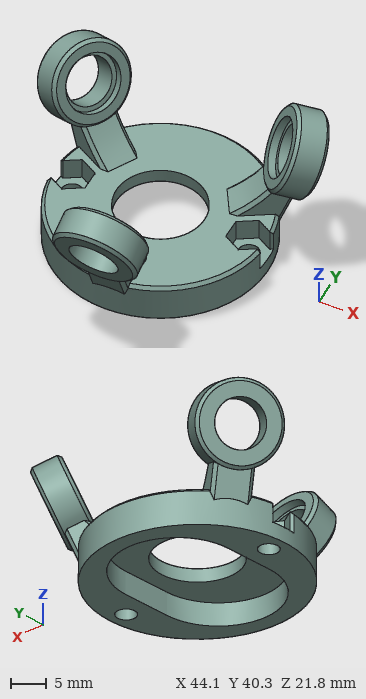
import cadquery as cq
import math

BASE_DIAMETER = 33.36
BASE_HEIGHT = 5.85
BASE_BORE_DIAMETER = 13.65
BASE_CHAMFER = 0.5

RECESS_WIDTH = 19.6
RECESS_LENGTH = 28.0
RECESS_DEPTH = 3.7

SCREW_SPACING = 27.5
SCREW_DIAMETER = 3.2
NUT_ACROSS_FLATS = 5.6
NUT_FLOOR_HEIGHT = 2.4
NUT_MOUTH_WIDTH = 3.76
NUT_MOUTH_FLARE_ANGLE = 30
NUT_MOUTH_OVERRUN = 1.0

RING_ANGLES = (30, 150, 270)
RING_DIAMETER = 13.0
RING_WIDTH = 4.9
RING_TILT = 22.5
RING_CENTER_RADIUS = 19.05
RING_CENTER_HEIGHT = 15.0
RING_BORE_DIAMETER = 7.52
SEAT_DIAMETER = 9.02
SEAT_DEPTH = 1.2
RING_CHAMFER = 0.5

ARM_WIDTH = 6.0
ARM_CHAMFER = 0.55
ARM_OUTER_OFFSET = 1.85
ARM_CURVE_RADIUS = 19.5
ARM_START_RADIUS = 9.5
ARM_FOOT_RADIUS = 8.0
ARM_FOOT_HEIGHT = 2.0
ARM_TIP_OFFSET = 5.0

TILT_SIN = math.sin(math.radians(RING_TILT))
TILT_COS = math.cos(math.radians(RING_TILT))
ARM_CURVE_CENTER_HEIGHT = BASE_HEIGHT + math.sqrt(ARM_CURVE_RADIUS**2 - ARM_START_RADIUS**2)


def ring_point(axial, below):
    """Radius and height of a point along the ring axis (outward) and below its center."""
    radius = RING_CENTER_RADIUS + axial * TILT_COS - below * TILT_SIN
    height = RING_CENTER_HEIGHT - axial * TILT_SIN - below * TILT_COS
    return radius, height


def arm_curve_point(radius):
    """Point of the concave arm face at a given radius."""
    return radius, ARM_CURVE_CENTER_HEIGHT - math.sqrt(ARM_CURVE_RADIUS**2 - radius**2)


def ring_cylinder(diameter, axial_start, length):
    """Cylinder on the ring axis, starting at an axial offset and running outward."""
    radius, height = ring_point(axial_start, 0)
    plane = cq.Plane(origin=(radius, 0, height), xDir=(0, 1, 0), normal=(TILT_COS, 0, -TILT_SIN))
    return cq.Workplane(plane).circle(diameter / 2).extrude(length)


def make_base():
    base = cq.Workplane("XY").circle(BASE_DIAMETER / 2).extrude(BASE_HEIGHT)
    base = base.faces(">Z").edges().chamfer(BASE_CHAMFER)
    bore = cq.Workplane("XY").circle(BASE_BORE_DIAMETER / 2).extrude(BASE_HEIGHT)
    return base.cut(bore)


def make_recess():
    return cq.Workplane("XY").slot2D(RECESS_LENGTH, RECESS_WIDTH, 90).extrude(RECESS_DEPTH)


def make_arm():
    tip_outer = ring_point(ARM_OUTER_OFFSET, ARM_TIP_OFFSET)
    foot_drop = (RING_CENTER_HEIGHT - ARM_OUTER_OFFSET * TILT_SIN - ARM_FOOT_HEIGHT) / TILT_COS
    foot_outer = ring_point(ARM_OUTER_OFFSET, foot_drop)
    tip_inner_radius = ring_point(-ARM_OUTER_OFFSET, ARM_TIP_OFFSET)[0]
    middle_radius = (ARM_FOOT_RADIUS + tip_inner_radius) / 2
    profile = (
        cq.Workplane("XZ")
        .moveTo(ARM_FOOT_RADIUS, ARM_FOOT_HEIGHT)
        .lineTo(*foot_outer)
        .lineTo(*tip_outer)
        .lineTo(*arm_curve_point(tip_inner_radius))
        .threePointArc(arm_curve_point(middle_radius), arm_curve_point(ARM_FOOT_RADIUS))
        .close()
    )
    arm = profile.extrude(ARM_WIDTH / 2, both=True)
    return arm.faces("|Y").edges().chamfer(ARM_CHAMFER)


def make_ring_with_arm():
    inner_face = -RING_WIDTH / 2
    ring = ring_cylinder(RING_DIAMETER, inner_face, RING_WIDTH).edges().chamfer(RING_CHAMFER)
    bore = ring_cylinder(RING_BORE_DIAMETER, inner_face, RING_WIDTH)
    seat = ring_cylinder(SEAT_DIAMETER, inner_face, SEAT_DEPTH)
    return ring.union(make_arm()).cut(bore).cut(seat)


def make_screw_seat():
    """Screw hole, nut pocket and flared pocket mouth on the +X side, as a solid to remove."""
    center_x = SCREW_SPACING / 2
    pocket_depth = BASE_HEIGHT - NUT_FLOOR_HEIGHT
    hole = cq.Workplane("XY").center(center_x, 0).circle(SCREW_DIAMETER / 2).extrude(BASE_HEIGHT)

    nut_across_corners = NUT_ACROSS_FLATS / math.cos(math.pi / 6)
    nut_pocket = (
        cq.Workplane("XY", origin=(center_x, 0, NUT_FLOOR_HEIGHT))
        .transformed(rotate=(0, 0, 90))
        .polygon(6, nut_across_corners)
        .extrude(pocket_depth)
    )

    throat = NUT_MOUTH_WIDTH / 2
    throat_x = center_x + (nut_across_corners / 2 - throat) / math.tan(math.pi / 6)
    outer_x = BASE_DIAMETER / 2 + NUT_MOUTH_OVERRUN
    flare = throat + (outer_x - throat_x) * math.tan(math.radians(NUT_MOUTH_FLARE_ANGLE))
    mouth = (
        cq.Workplane("XY", origin=(0, 0, NUT_FLOOR_HEIGHT))
        .polyline([(throat_x, -throat), (outer_x, -flare), (outer_x, flare), (throat_x, throat)])
        .close()
        .extrude(pocket_depth)
    )
    return hole.union(nut_pocket).union(mouth)


result = make_base()
ring_with_arm = make_ring_with_arm()
for angle in RING_ANGLES:
    result = result.union(ring_with_arm.rotate((0, 0, 0), (0, 0, 1), angle))
result = result.cut(make_recess())
screw_seat = make_screw_seat()
for angle in (0, 180):
    result = result.cut(screw_seat.rotate((0, 0, 0), (0, 0, 1), angle))